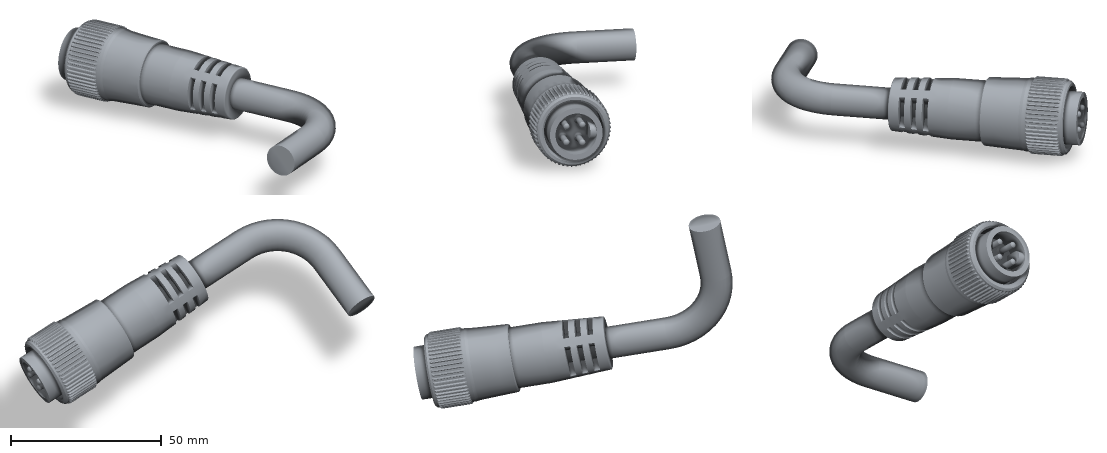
import cadquery as cq
import math


TOTAL_LENGTH = 110.0

NOSE_FACE_X = 0.4
NUT_FRONT_X = 4.5
NUT_REAR_X = 32.9
TAPER_START_X = 44.0
GRIP_END_X = 64.6

NOSE_RADIUS = 8.9
SOCKET_RADIUS = 7.0
SOCKET_DEPTH = 7.2
GRIP_RADIUS = 10.2
GRIP_END_RADIUS = 8.9
GRIP_END_FILLET = 0.4

KEY_HEIGHT = 4.6
KEY_INNER_RADIUS = 4.8
KEY_FRONT_X = NOSE_FACE_X + 0.4

SLOT_ROWS = 3
SLOTS_PER_ROW = 4
SLOT_START_X = 50.8
SLOT_WIDTH = 2.0
SLOT_PITCH = 4.1
SLOT_FLOOR_RADIUS = 5.2
BRIDGE_WIDTH = 3.0

CABLE_RADIUS = 10.7 / 2
BEND_RADIUS = 20.0
TAIL_LENGTH = 20.0

NUT_RADIUS = 12.3
NUT_FRONT_CHAMFER = 0.7
COLLAR_END_X = 18.4
SLEEVE_START_X = 19.4
SLEEVE_START_RADIUS = 12.1
SLEEVE_END_RADIUS = 11.4
NUT_REAR_CHAMFER = 0.3
NUT_BORE_RADIUS = 10.0
NUT_BORE_DEPTH = 6.6
NUT_BORE_CHAMFER = 0.7

TOOTH_COUNT = 55
TOOTH_ROOT_WIDTH = 0.8
TOOTH_TIP_WIDTH = 0.3
TOOTH_TIP_RADIUS = 25.8 / 2
TOOTH_START_X = 5.8
TOOTH_END_X = 17.0
TOOTH_END_CHAMFER = 0.5
TOOTH_ROOT_OVERLAP = 0.4

PIN_RADIUS = 1.0
PIN_DOME_HEIGHT = 0.5
PIN_FOOT_RADIUS = 1.5
PIN_FOOT_HEIGHT = PIN_FOOT_RADIUS - PIN_RADIUS
LEFT_PIN_Y = 3.3
LEFT_PIN_Z = 2.8
RIGHT_PIN_Y = -2.1
RIGHT_PIN_Z = 3.1

SOCKET_FLOOR_X = NOSE_FACE_X + SOCKET_DEPTH
ORIGIN = (0, 0, 0)
X_AXIS = (1, 0, 0)


def turned(points):
    """Turn a closed (x, radius) outline about the connector axis."""
    return cq.Workplane("XY").polyline(points).close().revolve(360, ORIGIN, X_AXIS)


def cylinder_x(start_x, end_x, radius):
    return cq.Workplane("YZ", origin=(start_x, 0, 0)).circle(radius).extrude(end_x - start_x)


def make_cable():
    tail_x = TOTAL_LENGTH - CABLE_RADIUS
    tail_end_y = -BEND_RADIUS - TAIL_LENGTH
    bend_start_x = tail_x - BEND_RADIUS
    diagonal = BEND_RADIUS * math.sqrt(0.5)
    path = (
        cq.Workplane("XY")
        .moveTo(GRIP_END_X, 0)
        .lineTo(bend_start_x, 0)
        .threePointArc((bend_start_x + diagonal, diagonal - BEND_RADIUS), (tail_x, -BEND_RADIUS))
        .lineTo(tail_x, tail_end_y)
    )
    return cq.Workplane("YZ", origin=(GRIP_END_X, 0, 0)).circle(CABLE_RADIUS).sweep(path)


def make_key():
    """Rib along the socket wall with a rounded front end."""
    round_center_x = KEY_FRONT_X + KEY_HEIGHT / 2
    wall_radius = (SOCKET_RADIUS + NOSE_RADIUS) / 2
    return (
        cq.Workplane("XZ", origin=(0, -KEY_INNER_RADIUS, 0))
        .moveTo(SOCKET_FLOOR_X, -KEY_HEIGHT / 2)
        .lineTo(round_center_x, -KEY_HEIGHT / 2)
        .threePointArc((KEY_FRONT_X, 0), (round_center_x, KEY_HEIGHT / 2))
        .lineTo(SOCKET_FLOOR_X, KEY_HEIGHT / 2)
        .close()
        .extrude(wall_radius - KEY_INNER_RADIUS)
    )


def make_slot_row(start_x):
    """Ring of four slots, parted by bridges of constant width on the diagonals."""
    ring = (
        cq.Workplane("YZ", origin=(start_x, 0, 0))
        .circle(GRIP_RADIUS)
        .circle(SLOT_FLOOR_RADIUS)
        .extrude(SLOT_WIDTH)
    )
    bridge = cq.Workplane("XY", origin=(start_x + SLOT_WIDTH / 2, 0, 0)).box(
        SLOT_WIDTH, 2 * GRIP_RADIUS, BRIDGE_WIDTH
    )
    for index in range(SLOTS_PER_ROW // 2):
        angle = (index + 0.5) * 360 / SLOTS_PER_ROW
        ring = ring.cut(bridge.rotate(ORIGIN, X_AXIS, angle))
    return ring


def make_body():
    """Nose, grip and cable, with the keying rib inside the socket."""
    body = turned([
        (NOSE_FACE_X, 0),
        (NOSE_FACE_X, NOSE_RADIUS),
        (NUT_REAR_X, NOSE_RADIUS),
        (NUT_REAR_X, GRIP_RADIUS),
        (TAPER_START_X, GRIP_RADIUS),
        (GRIP_END_X, GRIP_END_RADIUS),
        (GRIP_END_X, 0),
    ])
    body = body.faces(">X").edges().fillet(GRIP_END_FILLET)
    body = body.cut(cylinder_x(NOSE_FACE_X, SOCKET_FLOOR_X, SOCKET_RADIUS))
    for row in range(SLOT_ROWS):
        body = body.cut(make_slot_row(SLOT_START_X + row * SLOT_PITCH))
    return body.union(make_key()).union(make_cable())


def make_tooth():
    """Tapered knurl tooth on the top of the nut, with chamfered ends."""
    root_radius = NUT_RADIUS - TOOTH_ROOT_OVERLAP
    tooth = (
        cq.Workplane("YZ", origin=(TOOTH_START_X, 0, 0))
        .polyline([
            (-TOOTH_ROOT_WIDTH / 2, root_radius),
            (-TOOTH_ROOT_WIDTH / 2, NUT_RADIUS),
            (-TOOTH_TIP_WIDTH / 2, TOOTH_TIP_RADIUS),
            (TOOTH_TIP_WIDTH / 2, TOOTH_TIP_RADIUS),
            (TOOTH_ROOT_WIDTH / 2, NUT_RADIUS),
            (TOOTH_ROOT_WIDTH / 2, root_radius),
        ])
        .close()
        .extrude(TOOTH_END_X - TOOTH_START_X)
    )
    return tooth.faces(">Z").edges("|Y").chamfer(TOOTH_END_CHAMFER)


def make_nut():
    bore_floor_x = NUT_FRONT_X + NUT_BORE_DEPTH
    nut = turned([
        (NUT_FRONT_X, NUT_BORE_RADIUS + NUT_BORE_CHAMFER),
        (NUT_FRONT_X, NUT_RADIUS - NUT_FRONT_CHAMFER),
        (NUT_FRONT_X + NUT_FRONT_CHAMFER, NUT_RADIUS),
        (COLLAR_END_X, NUT_RADIUS),
        (SLEEVE_START_X, SLEEVE_START_RADIUS),
        (NUT_REAR_X - NUT_REAR_CHAMFER, SLEEVE_END_RADIUS),
        (NUT_REAR_X, SLEEVE_END_RADIUS - NUT_REAR_CHAMFER),
        (NUT_REAR_X, NOSE_RADIUS),
        (bore_floor_x, NOSE_RADIUS),
        (bore_floor_x, NUT_BORE_RADIUS),
        (NUT_FRONT_X + NUT_BORE_CHAMFER, NUT_BORE_RADIUS),
    ])
    tooth = make_tooth().rotate(ORIGIN, X_AXIS, 90)
    teeth = [
        tooth.rotate(ORIGIN, X_AXIS, index * 360 / TOOTH_COUNT).val()
        for index in range(TOOTH_COUNT)
    ]
    return cq.Workplane(nut.val().fuse(*teeth))


def make_pin(y, z):
    """Contact pin with a domed tip, standing on the socket floor on a conical foot."""
    sphere_radius = (PIN_RADIUS**2 + PIN_DOME_HEIGHT**2) / (2 * PIN_DOME_HEIGHT)
    half_angle = math.asin(PIN_RADIUS / sphere_radius) / 2
    arc_middle = (
        sphere_radius * (1 - math.cos(half_angle)),
        sphere_radius * math.sin(half_angle),
    )
    pin = (
        cq.Workplane("XY")
        .moveTo(0, 0)
        .threePointArc(arc_middle, (PIN_DOME_HEIGHT, PIN_RADIUS))
        .lineTo(SOCKET_FLOOR_X - PIN_FOOT_HEIGHT, PIN_RADIUS)
        .lineTo(SOCKET_FLOOR_X, PIN_FOOT_RADIUS)
        .lineTo(SOCKET_FLOOR_X, 0)
        .close()
        .revolve(360, ORIGIN, X_AXIS)
    )
    return pin.translate((0, y, z))


body = make_body()
nut = make_nut()
pins = [
    make_pin(y, side * z)
    for y, z in [(LEFT_PIN_Y, LEFT_PIN_Z), (RIGHT_PIN_Y, RIGHT_PIN_Z)]
    for side in (1, -1)
]

result = cq.Compound.makeCompound([body.val(), nut.val(), *[pin.val() for pin in pins]])